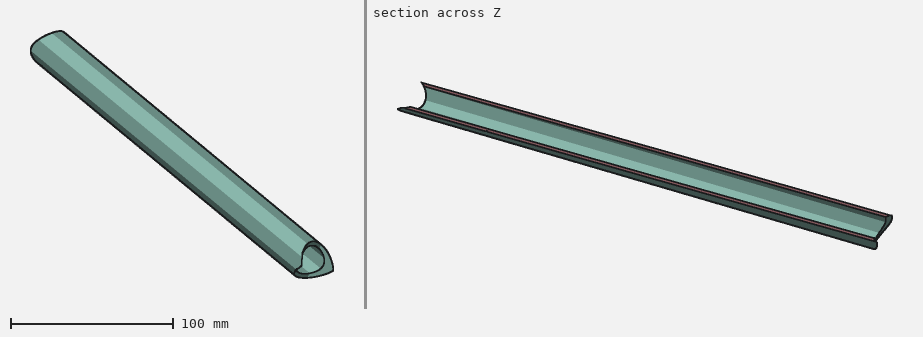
import cadquery as cq
import math

overall_length = 316.8
tube_diameter = 25.0
wall = 3.0
rise = 3.8

left_saddle_radius = 15.5
left_saddle_depth = 6.3
right_saddle_clearance = 0.03
right_saddle_lean = 25.0

tube_radius = tube_diameter / 2
right_saddle_radius = tube_radius + right_saddle_clearance
overrun = 31.7
half_length = overall_length / 2
slope = math.degrees(math.atan2(rise, overall_length))


def cylinder(radius, length):
    """Cylinder along Z, centred on the origin."""
    return cq.Workplane("XY").circle(radius).extrude(length / 2, both=True)


def sloped_along_x(body):
    """Lay a Z-axis body along X, with its +X end raised."""
    return body.rotate((0, 0, 0), (0, 1, 0), 90 - slope)


def tube():
    length = overall_length + 2 * overrun
    outer = cylinder(tube_radius, length)
    bore = cylinder(tube_radius - wall, length)
    return sloped_along_x(outer.cut(bore))


def end_cutter(radius, axis_x, lean, side):
    """Neighbouring cylinder plus everything beyond its axis on the given side (-1 or +1)."""
    height = 4 * tube_diameter
    beyond = 2 * overrun
    block = cq.Workplane("XY").box(beyond, height, height).translate((side * beyond / 2, 0, 0))
    cutter = cylinder(radius, height).union(block)
    axis_z = axis_x * rise / overall_length
    return cutter.rotate((0, 0, 0), (1, 0, 0), -lean).translate((axis_x, 0, axis_z))


left_axis_x = -half_length + left_saddle_depth - left_saddle_radius

right_tip_reach = math.sqrt(right_saddle_radius**2 - tube_radius**2)
right_axis_x = half_length + right_tip_reach

result = (
    tube()
    .cut(end_cutter(left_saddle_radius, left_axis_x, 0, -1))
    .cut(end_cutter(right_saddle_radius, right_axis_x, right_saddle_lean, 1))
)